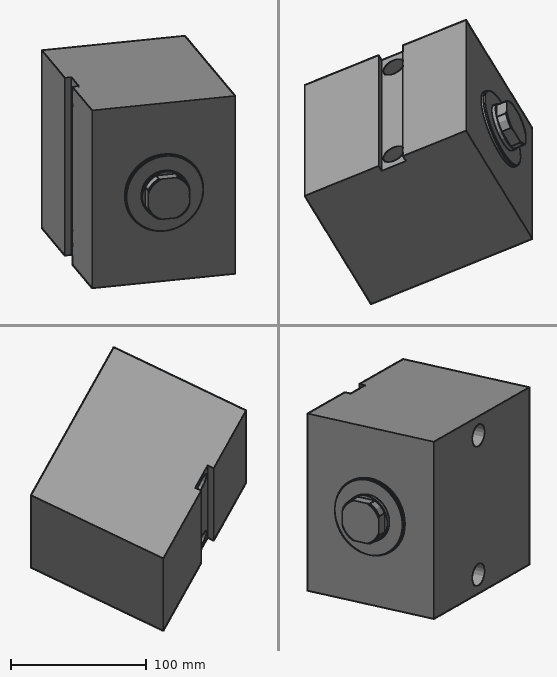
import cadquery as cq

overall_length = 147.0
housing_width = 110.0
housing_height = 140.0

protrusion = 14.0
housing_length = overall_length - protrusion

slot_start = 61.0
slot_width = 20.0
slot_depth = 5.0
slot_center = slot_start + slot_width / 2
mounting_hole_diameter = 17.0
mounting_hole_spacing = 110.0

gland_diameter = 60.0
gland_thickness = 3.0
gland_chamfer_length = 1.2
gland_chamfer_depth = 0.6

shank_diameter = 36.3
shank_length = 5.9
rod_end_diameter = 35.0
rod_end_length = protrusion - shank_length
across_flats = 31.6
rod_end_chamfer = 0.7


def make_housing():
    """Block with a key slot in its -Y face and mounting holes through it along Y."""
    block = cq.Workplane("XY").box(
        housing_length, housing_width, housing_height, centered=(False, True, True)
    )
    slot = (
        cq.Workplane("XY")
        .box(slot_width, slot_depth, housing_height, centered=(True, False, True))
        .translate((slot_center, -housing_width / 2, 0))
    )
    mounting_holes = (
        cq.Workplane("XZ")
        .center(slot_center, 0)
        .rarray(1.5, mounting_hole_spacing, 1, 2)
        .circle(mounting_hole_diameter / 2)
        .extrude(housing_width / 2, both=True)
    )
    return block.cut(slot).cut(mounting_holes)


def make_gland():
    """Ring lying on the +X face of the housing, chamfered on its outer rim."""
    disc = (
        cq.Workplane("YZ", origin=(housing_length, 0, 0))
        .circle(gland_diameter / 2)
        .extrude(gland_thickness)
    )
    chamfered_disc = disc.faces(">X").edges().chamfer(gland_chamfer_length, gland_chamfer_depth)
    return chamfered_disc.faces(">X").workplane().hole(shank_diameter)


def make_rod():
    """Rod that fills the gland bore and ends in a chamfered tip with four flats."""
    shank = (
        cq.Workplane("YZ", origin=(housing_length, 0, 0))
        .circle(shank_diameter / 2)
        .extrude(shank_length)
    )
    tip_plane = cq.Workplane("YZ", origin=(housing_length + shank_length, 0, 0))
    round_tip = (
        tip_plane.circle(rod_end_diameter / 2)
        .extrude(rod_end_length)
        .faces(">X")
        .chamfer(rod_end_chamfer)
    )
    square_bar = tip_plane.rect(across_flats, across_flats).extrude(rod_end_length)
    return shank.union(round_tip.intersect(square_bar))


housing = make_housing()
gland = make_gland()
rod = make_rod()

result = cq.Compound.makeCompound([housing.val(), gland.val(), rod.val()])